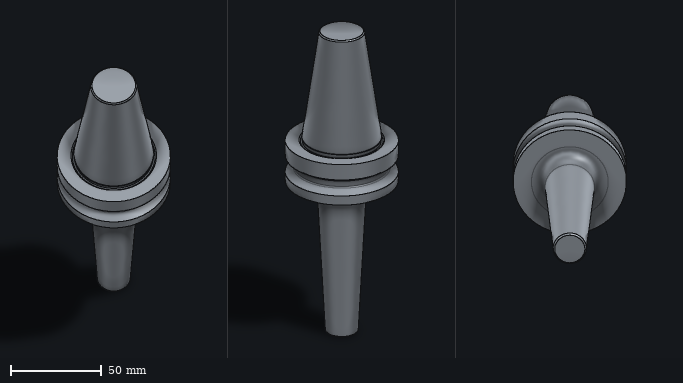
import cadquery as cq
import math

total_height = 185.4
flange_bottom = 93.0
flange_height = 25.0
flange_top = flange_bottom + flange_height

gauge_radius = 22.2
gauge_height = flange_top + 2.0
radius_per_length = 7 / 24 / 2
land_length = 0.5
land_bottom = gauge_height - land_length
neck_radius = 21.9
shank_chamfer = 0.7
shank_chamfer_start = total_height - shank_chamfer
shank_end_radius = gauge_radius - (shank_chamfer_start - gauge_height) * radius_per_length

recess_radius = 23.7
recess_floor_radius = 23.0
recess_depth = 0.7
recess_floor = flange_top - recess_depth

flange_radius = 31.5
upper_rim_bottom = flange_top - 9.5
groove_radius = 26.5
groove_floor_top = 105.5
groove_floor_bottom = 102.2
groove_fillet = 1.0
groove_wall_angle = math.radians(30)
fillet_turn = math.pi / 2 - groove_wall_angle


def groove_fillet_point(turn):
    """Point (radius, height) on the fillet after turning outwards from the groove floor."""
    return (
        groove_radius + groove_fillet * (1 - math.cos(turn)),
        groove_floor_bottom - groove_fillet * math.sin(turn),
    )


lower_wall_radius, lower_wall_top = groove_fillet_point(fillet_turn)
lower_rim_top = lower_wall_top - (flange_radius - lower_wall_radius) * math.tan(groove_wall_angle)

nose_half_angle = math.radians(3.0)
nose_tip_radius = 9.3
nose_chamfer = 1.0
blend_radius = 7.6

blend_center_height = flange_bottom - blend_radius
blend_end_height = blend_center_height + blend_radius * math.sin(nose_half_angle)
blend_end_radius = nose_tip_radius + (blend_end_height - nose_chamfer) * math.tan(nose_half_angle)
blend_center_radius = blend_end_radius + blend_radius * math.cos(nose_half_angle)
blend_mid_angle = (math.pi / 2 + math.pi - nose_half_angle) / 2
blend_middle = (
    blend_center_radius + blend_radius * math.cos(blend_mid_angle),
    blend_center_height + blend_radius * math.sin(blend_mid_angle),
)

profile = (
    cq.Workplane("XZ")
    .moveTo(0, 0)
    .lineTo(nose_tip_radius - nose_chamfer, 0)
    .lineTo(nose_tip_radius, nose_chamfer)
    .lineTo(blend_end_radius, blend_end_height)
    .threePointArc(blend_middle, (blend_center_radius, flange_bottom))
    .lineTo(flange_radius, flange_bottom)
    .lineTo(flange_radius, lower_rim_top)
    .lineTo(lower_wall_radius, lower_wall_top)
    .threePointArc(groove_fillet_point(fillet_turn / 2), groove_fillet_point(0))
    .lineTo(groove_radius, groove_floor_top)
    .lineTo(flange_radius, upper_rim_bottom)
    .lineTo(flange_radius, flange_top)
    .lineTo(recess_radius, flange_top)
    .lineTo(recess_floor_radius, recess_floor)
    .lineTo(neck_radius, recess_floor)
    .lineTo(neck_radius, land_bottom)
    .lineTo(gauge_radius, land_bottom)
    .lineTo(gauge_radius, gauge_height)
    .lineTo(shank_end_radius, shank_chamfer_start)
    .lineTo(shank_end_radius - shank_chamfer, total_height)
    .lineTo(0, total_height)
    .close()
)

result = profile.revolve(360, (0, 0, 0), (0, 1, 0))